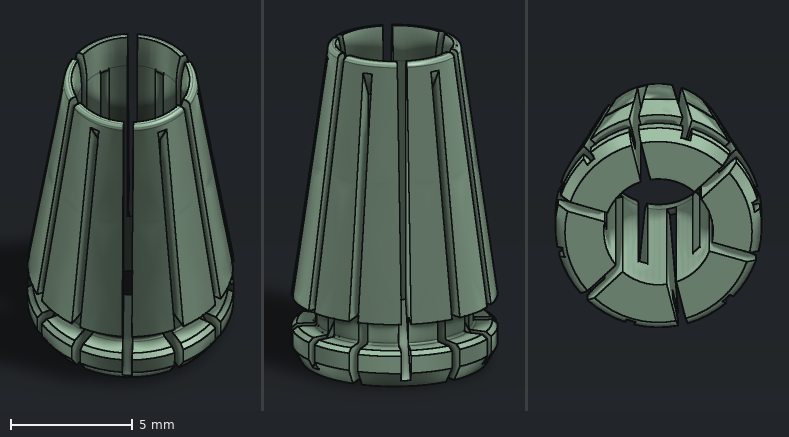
import cadquery as cq
import math

total_length = 13.6
outer_radius = 8.5 / 2
bore_radius = 4.5 / 2

collar_top_z = 1.6
collar_lower_cone_height = 0.69
collar_lower_cone_angle = 30
collar_upper_bevel_height = 0.17
collar_upper_bevel_width = 0.23

groove_radius = 6.5 / 2
groove_top_z = 2.8
groove_fillet = 0.1

cone_half_angle = 8
cone_top_fillet = 0.2

mouth_radius = 2.435
mouth_depth = 1.45

slots_per_set = 6
slot_width = 0.4
slot_overrun = 1.0
top_slot_floor_bore_z = 3.24
top_slot_floor_outer_z = 0.31
bottom_slot_floor_bore_z = 12.05
bottom_slot_floor_outer_z = 13.115


def cone_radius(z):
    """Radius of the clamping cone at height z."""
    return outer_radius - (z - groove_top_z) * math.tan(math.radians(cone_half_angle))


def collar_radius(z):
    """Radius of the lower cone of the collar at height z."""
    return outer_radius - (collar_lower_cone_height - z) * math.tan(math.radians(collar_lower_cone_angle))


def body_of_revolution():
    """Solid outer form, with the small fillets of the groove and the top rim."""
    profile = (
        cq.Workplane("XZ")
        .moveTo(0, 0)
        .lineTo(collar_radius(0), 0)
        .lineTo(outer_radius, collar_lower_cone_height)
        .lineTo(outer_radius, collar_top_z - collar_upper_bevel_height)
        .lineTo(outer_radius - collar_upper_bevel_width, collar_top_z)
        .lineTo(groove_radius, collar_top_z)
        .lineTo(groove_radius, groove_top_z)
        .lineTo(outer_radius, groove_top_z)
        .lineTo(cone_radius(total_length), total_length)
        .lineTo(0, total_length)
        .close()
    )
    body = profile.revolve(360, (0, 0, 0), (0, 1, 0))
    body = body.faces(">Z").edges().fillet(cone_top_fillet)
    groove_corners = cq.selectors.BoxSelector(
        (-outer_radius, -outer_radius, collar_top_z - groove_fillet),
        (outer_radius, outer_radius, groove_top_z + groove_fillet),
    )
    groove_edges = (
        body.edges(groove_corners)
        .edges("%CIRCLE")
        .filter(lambda edge: abs(edge.radius() - groove_radius) < groove_fillet)
    )
    return groove_edges.fillet(groove_fillet)


def bore():
    """Straight bore that flares tangentially, along a large arc, at its top."""
    flare = mouth_radius - bore_radius
    arc_radius = (mouth_depth**2 + flare**2) / (2 * flare)
    half_arc_angle = math.atan2(flare, mouth_depth)
    arc_middle = (
        bore_radius + arc_radius * (1 - math.cos(half_arc_angle)),
        total_length - mouth_depth + arc_radius * math.sin(half_arc_angle),
    )
    return (
        cq.Workplane("XZ")
        .moveTo(0, 0)
        .lineTo(bore_radius, 0)
        .lineTo(bore_radius, total_length - mouth_depth)
        .threePointArc(arc_middle, (mouth_radius, total_length))
        .lineTo(0, total_length)
        .close()
        .revolve(360, (0, 0, 0), (0, 1, 0))
    )


def slot_cutter(bore_z, surface_z, surface_radius, open_end_z):
    """Radial slot along +X, from a sloping floor to its open end.

    The floor line passes through the bore at bore_z and the outside surface at surface_z.
    """
    slope = (surface_z - bore_z) / (surface_radius - bore_radius)
    inner = bore_radius - slot_overrun
    outer = outer_radius + slot_overrun
    return (
        cq.Workplane("XZ")
        .moveTo(inner, bore_z + slope * (inner - bore_radius))
        .lineTo(outer, bore_z + slope * (outer - bore_radius))
        .lineTo(outer, open_end_z)
        .lineTo(inner, open_end_z)
        .close()
        .extrude(slot_width / 2, both=True)
    )


def cut_slot_set(body, cutter, first_angle):
    """Cut one set of evenly spaced slots, the first at first_angle degrees from +X."""
    for index in range(slots_per_set):
        angle = first_angle + index * 360 / slots_per_set
        body = body.cut(cutter.rotate((0, 0, 0), (0, 0, 1), angle))
    return body


top_slot = slot_cutter(
    top_slot_floor_bore_z,
    top_slot_floor_outer_z,
    collar_radius(top_slot_floor_outer_z),
    total_length + slot_overrun,
)
bottom_slot = slot_cutter(
    bottom_slot_floor_bore_z,
    bottom_slot_floor_outer_z,
    cone_radius(bottom_slot_floor_outer_z),
    -slot_overrun,
)

result = body_of_revolution().cut(bore())
result = cut_slot_set(result, top_slot, 180 / slots_per_set)
result = cut_slot_set(result, bottom_slot, 0)